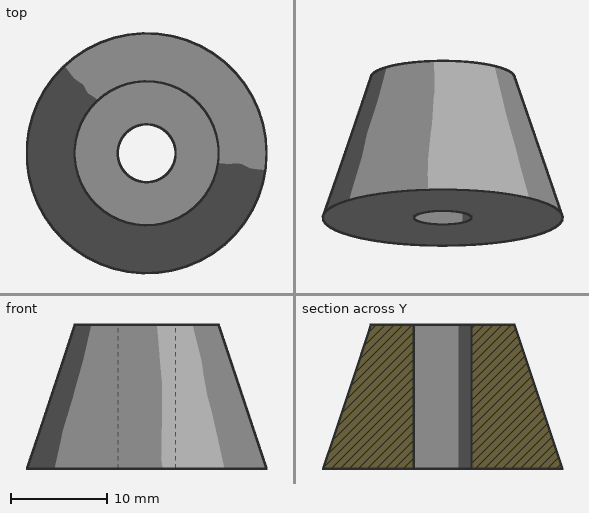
import cadquery as cq

base_diameter = 25.0
top_diameter = 15.0
height = 15.0
bore_diameter = 6.0

base_radius = base_diameter / 2
top_radius = top_diameter / 2
bore_radius = bore_diameter / 2

half_section = (
    cq.Workplane("XZ")
    .moveTo(bore_radius, 0)
    .lineTo(base_radius, 0)
    .lineTo(top_radius, height)
    .lineTo(bore_radius, height)
    .close()
)

result = half_section.revolve(360, (0, 0, 0), (0, 1, 0))